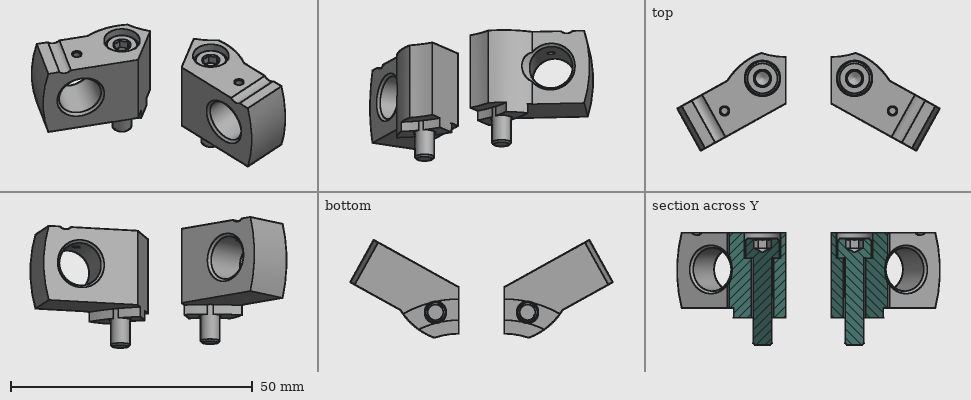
import cadquery as cq
import math


overall_length = 54.29
overall_width = 20.25
half_gap = 4.65

jaw_height = 15.6
arm_angle = 29.0
arm_width = 10.0
end_radius = 28.0
relief_radius = 16.0
relief_width = 5.1
shoulder_radius = 14.0
shoulder_setback = 11.9

key_height = 2.0
key_mid_radius = 21.0
key_width = 4.36

bore_diameter = 8.92
bore_rim_diameter = 10.0
bore_setback = 8.0
bore_below_top = 7.6
flare_reach = 3.0

lock_hole_diameter = 1.57
lock_hole_rim_diameter = 2.0
lock_hole_setback = 8.35
lock_hole_inset = 4.83

groove_setback = 4.7
groove_width = 2.45
groove_depth = 0.5

screw_offset = 4.85
screw_diameter = 4.0
screw_length = 18.0
screw_tip_chamfer = 0.4
head_diameter = 7.0
head_height = 4.0
head_chamfer = 0.42
head_recess = 1.2
socket_across_flats = 3.0
socket_rim_diameter = 3.65
socket_depth = 2.0
socket_point_angle = 120.0
clearance_diameter = 4.5
counterbore_diameter = 7.4

angle = math.radians(arm_angle)
along = cq.Vector(math.cos(angle), -math.sin(angle), 0)
across = cq.Vector(math.sin(angle), math.cos(angle), 0)
up = cq.Vector(0, 0, 1)
back_corner = cq.Vector(
    half_gap + relief_width, -math.sqrt(relief_radius**2 - relief_width**2), 0
)
end_back = cq.Vector(
    overall_length / 2,
    back_corner.y - overall_width + arm_width * math.cos(angle),
    0,
)
end_front = end_back - across * arm_width
shoulder_foot = end_back - along * shoulder_setback
front_corner = end_front - along * ((end_front.x - half_gap) / math.cos(angle))
screw_x = half_gap + screw_offset
screw_y = -math.sqrt(key_mid_radius**2 - screw_offset**2)
seat_z = jaw_height - head_recess - head_height


def arm_plane(setback, z):
    """Plane on the front wall of the arm: x outward along the arm, y up, normal out of the wall."""
    origin = end_front - along * setback + up * z
    return cq.Plane(origin=origin.toTuple(), xDir=along.toTuple(), normal=(across * -1).toTuple())


def plan_outline():
    """Closed outline of the jaw in plan."""
    return (
        cq.Workplane("XY")
        .moveTo(half_gap, -relief_radius)
        .radiusArc((back_corner.x, back_corner.y), -relief_radius)
        .radiusArc((shoulder_foot.x, shoulder_foot.y), shoulder_radius)
        .lineTo(end_back.x, end_back.y)
        .lineTo(end_front.x, end_front.y)
        .lineTo(front_corner.x, front_corner.y)
        .close()
    )


def key():
    """Arc-shaped key, trimmed to the jaw outline."""
    ring = (
        cq.Workplane("XY", origin=(half_gap, 0, -key_height))
        .circle(key_mid_radius + key_width / 2)
        .circle(key_mid_radius - key_width / 2)
        .extrude(key_height)
    )
    return ring.intersect(plan_outline().extrude(-key_height))


def arm_end_cylinder():
    """Large cylinder whose side forms the rounded end of the arm."""
    return (
        cq.Workplane(arm_plane(end_radius, jaw_height / 2))
        .circle(end_radius)
        .extrude(overall_length, both=True)
    )


def bore_cutter():
    """Cross bore with a 45 degree flare at each wall of the arm."""
    axis_height = jaw_height - bore_below_top
    axis_start = end_front - along * bore_setback + up * axis_height
    bore_radius = bore_diameter / 2
    rim_radius = bore_rim_diameter / 2
    rim_depth = rim_radius - bore_radius
    bore = (
        cq.Workplane(arm_plane(bore_setback, axis_height))
        .circle(bore_radius)
        .extrude(-arm_width)
    )
    front_flare = cq.Solid.makeCone(rim_radius, bore_radius, rim_depth, pnt=axis_start, dir=across)
    back_flare = cq.Solid.makeCone(
        bore_radius,
        rim_radius + flare_reach,
        rim_depth + flare_reach,
        pnt=axis_start + across * (arm_width - rim_depth),
        dir=across,
    )
    return bore.union(front_flare).union(back_flare)


def groove_cutter():
    """Shallow round-bottomed groove across the top of the arm."""
    radius = ((groove_width / 2) ** 2 + groove_depth**2) / (2 * groove_depth)
    return (
        cq.Workplane(arm_plane(groove_setback, jaw_height - groove_depth + radius))
        .circle(radius)
        .extrude(-arm_width)
    )


def lock_hole_cutter():
    """Countersunk vertical hole from the top face into the cross bore."""
    centre = end_front - along * lock_hole_setback + across * lock_hole_inset
    rim_depth = (lock_hole_rim_diameter - lock_hole_diameter) / 2
    hole = (
        cq.Workplane("XY", origin=(centre.x, centre.y, jaw_height))
        .circle(lock_hole_diameter / 2)
        .extrude(-bore_below_top)
    )
    rim = cq.Solid.makeCone(
        lock_hole_rim_diameter / 2,
        lock_hole_diameter / 2,
        rim_depth,
        pnt=centre + up * jaw_height,
        dir=cq.Vector(0, 0, -1),
    )
    return hole.union(rim)


def screw_hole_cutter():
    """Clearance hole with a counterbore for the screw head."""
    counterbore = (
        cq.Workplane("XY", origin=(screw_x, screw_y, seat_z))
        .circle(counterbore_diameter / 2)
        .extrude(jaw_height - seat_z)
    )
    clearance = (
        cq.Workplane("XY", origin=(screw_x, screw_y, -key_height))
        .circle(clearance_diameter / 2)
        .extrude(key_height + seat_z)
    )
    return counterbore.union(clearance)


def make_jaw():
    """Jaw on the +X side."""
    return (
        plan_outline()
        .extrude(jaw_height)
        .intersect(arm_end_cylinder())
        .union(key())
        .cut(bore_cutter())
        .cut(groove_cutter())
        .cut(lock_hole_cutter())
        .cut(screw_hole_cutter())
    )


def make_screw(x):
    """Socket head cap screw, head up, seated in the jaw at the given X."""
    shank = (
        cq.Workplane("XY", origin=(x, screw_y, seat_z))
        .circle(screw_diameter / 2)
        .extrude(-screw_length)
        .faces("<Z")
        .chamfer(screw_tip_chamfer)
    )
    head = (
        cq.Workplane("XY", origin=(x, screw_y, seat_z))
        .circle(head_diameter / 2)
        .extrude(head_height)
        .faces(">Z")
        .edges()
        .chamfer(head_chamfer)
    )
    socket_corner = socket_across_flats / math.cos(math.pi / 6)
    head_top = seat_z + head_height
    socket = (
        cq.Workplane("XY", origin=(x, screw_y, head_top))
        .polygon(6, socket_corner)
        .extrude(-socket_depth)
    )
    point_radius = socket_across_flats / 2
    rim = cq.Solid.makeCone(
        socket_rim_diameter / 2,
        point_radius,
        socket_rim_diameter / 2 - point_radius,
        pnt=cq.Vector(x, screw_y, head_top),
        dir=cq.Vector(0, 0, -1),
    )
    point = cq.Solid.makeCone(
        point_radius,
        0,
        point_radius / math.tan(math.radians(socket_point_angle / 2)),
        pnt=cq.Vector(x, screw_y, head_top - socket_depth),
        dir=cq.Vector(0, 0, -1),
    )
    return head.union(shank).cut(socket).cut(cq.Workplane(rim)).cut(cq.Workplane(point))


right_jaw = make_jaw()
left_jaw = right_jaw.mirror("YZ")
screws = [make_screw(side * screw_x) for side in (1, -1)]

result = cq.Compound.makeCompound(
    [right_jaw.val(), left_jaw.val(), *[screw.val() for screw in screws]]
)